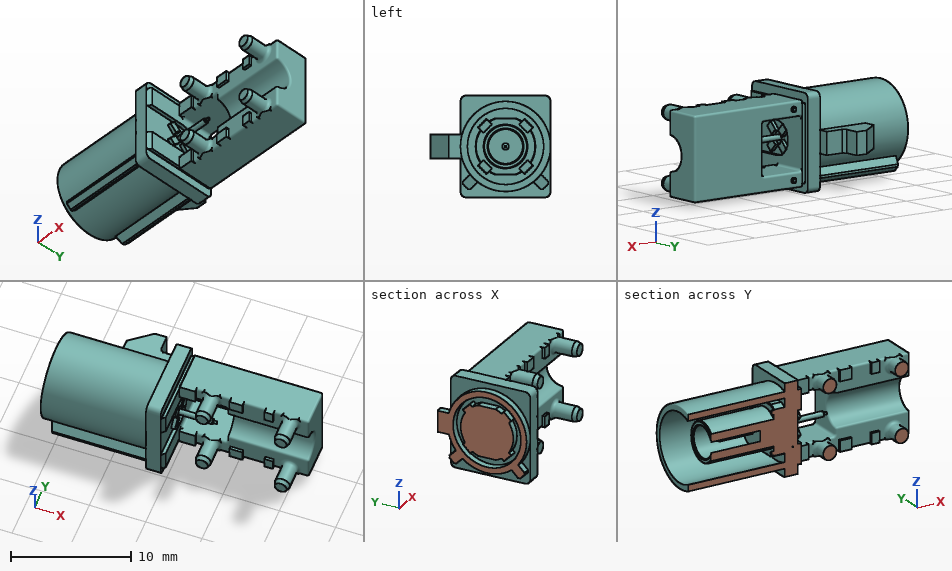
import cadquery as cq
import math


shroud_radius = 3.75
shroud_bore_radius = 3.17
mouth_round = 0.1
flange_front = 9.4

flange_thickness = 1.3
flange_width = 2 * shroud_radius
flange_height = 8.5
flange_corner_radius = 0.5
flange_back = flange_front + flange_thickness

lug_width = 2.0
lug_front = 4.5
lug_front_height = 4.73
lug_crest_front = 6.45
lug_crest_back = 7.5
lug_crest_height = 6.25
lug_step_height = 4.65
lug_step_chamfer = 0.24

key_angles = (-45, -135)
key_width = 0.9
key_radius = 4.72
key_corner_chamfer = 0.15
key_front = 0.75
key_tip_front = 1.0

hub_radius = 2.5
hub_flat_half = 2.36
hub_front = 8.35
hub_edge_chamfer = 0.05
clip_inner = 2.1
clip_outer = 2.75
clip_width = 1.0
clip_front = 8.15
clip_chamfer = 0.05
tube_radius = 1.84
tube_bore_radius = 1.43
tube_front = 2.2
tube_outer_chamfer = 0.07
tube_inner_chamfer = 0.08
insulator_front = 7.0
contact_radius = 0.28
contact_front = 3.5
contact_tip_radius = 0.08
contact_tip_length = 0.35
tail_radius = 0.25
tail_shoulder = 14.0
tail_end = 14.3
tail_tip_radius = 0.12
tail_shoulder_chamfer = 0.06

neck_thickness = 0.34
neck_back = flange_back + neck_thickness
neck_half_height = 3.41
neck_bottom = -flange_width / 2
neck_top = 3.4
neck_undercut_length = 0.12
neck_undercut_depth = 0.06
neck_opening_radius = 1.5
cross_arm_length = 1.48
cross_arm_width = 0.67
cross_center_radius = 0.6

body_back = 22.45
body_half_height = 3.69
body_top = 3.42
edge_round = 0.2
front_corner_round = 0.1
pad_height = 0.25
front_pad_back = 12.45
side_pad_inner = 2.67
side_pads = ((15.5, 16.65), (18.6, 19.35))

window_back = 15.22
window_half_height = 2.33
window_corner_radius = 0.25
channel_radius = 1.53

pin_x_positions = (13.83, 20.84)
pin_z = (window_half_height + body_half_height) / 2
pin_radius = 0.67
pin_length = 2.35
pin_tip_radius = 0.53
pin_tip_length = 0.4
pin_root_round = 0.3

stud_x = 11.95
stud_radius = 0.24
stud_height = 0.16
stud_chamfer = 0.08

overlap = 0.2


def box(x_range, y_range, z_range):
    """Axis-aligned block given by its limits."""
    lows, highs = zip(x_range, y_range, z_range)
    sizes = [high - low for low, high in zip(lows, highs)]
    return cq.Workplane("XY").box(*sizes, centered=False).translate(lows)


def rod(x_start, x_end, radius):
    """Cylinder along the coax axis."""
    return cq.Workplane("YZ", origin=(x_start, 0, 0)).circle(radius).extrude(x_end - x_start)


def make_shroud():
    tube = rod(0, flange_front + overlap, shroud_radius).faces("<X").edges().fillet(mouth_round)
    flange = box(
        (flange_front, flange_back),
        (-flange_width / 2, flange_width / 2),
        (-flange_height / 2, flange_height / 2),
    )
    flange = flange.edges("|X").fillet(flange_corner_radius)
    return tube.union(flange)


def make_lug():
    outline = [
        (lug_front, 0),
        (lug_front, lug_front_height),
        (lug_crest_front, lug_crest_height),
        (lug_crest_back, lug_crest_height),
        (lug_crest_back, lug_step_height + lug_step_chamfer),
        (lug_crest_back + lug_step_chamfer, lug_step_height),
        (flange_front, lug_step_height),
        (flange_front, 0),
    ]
    return cq.Workplane("XY").polyline(outline).close().extrude(lug_width / 2, both=True)


def make_key(angle):
    """Rib along the shroud with a sloping front end, turned about X to its angle."""
    slope = (key_tip_front - key_front) / (key_radius - shroud_radius)
    root_front = key_front - slope * (shroud_radius - shroud_bore_radius)
    outline = [
        (root_front, shroud_bore_radius),
        (key_tip_front, key_radius),
        (flange_front, key_radius),
        (flange_front, shroud_bore_radius),
    ]
    key = cq.Workplane("XY").polyline(outline).close().extrude(key_width / 2, both=True)
    key = key.faces(">Y").edges("|X").chamfer(key_corner_chamfer)
    return key.rotate((0, 0, 0), (1, 0, 0), angle)


def make_hub():
    """Flatted base disc with four retaining clips on its diagonals."""
    hub = rod(hub_front, flange_front, hub_radius)
    flats = box(
        (hub_front, flange_front),
        (-hub_radius, hub_radius),
        (-hub_flat_half, hub_flat_half),
    )
    hub = hub.intersect(flats).faces("<X").edges().chamfer(hub_edge_chamfer)
    for quarter in range(4):
        clip = box(
            (clip_front, flange_front),
            (clip_inner, clip_outer),
            (-clip_width / 2, clip_width / 2),
        )
        clip = clip.faces("<X").edges(">Y").chamfer(clip_chamfer)
        hub = hub.union(clip.rotate((0, 0, 0), (1, 0, 0), 45 + 90 * quarter))
    return hub


def make_tube():
    outline = [
        (insulator_front, 0),
        (insulator_front, tube_bore_radius),
        (tube_front + tube_inner_chamfer, tube_bore_radius),
        (tube_front, tube_bore_radius + tube_inner_chamfer),
        (tube_front, tube_radius - tube_outer_chamfer),
        (tube_front + tube_outer_chamfer, tube_radius),
        (flange_front, tube_radius),
        (flange_front, 0),
    ]
    return cq.Workplane("XY").polyline(outline).close().revolve(360, (0, 0), (1, 0))


def make_contact():
    """Centre conductor: pointed mating end, thinner stepped tail."""
    outline = [
        (contact_front, 0),
        (contact_front, contact_tip_radius),
        (contact_front + contact_tip_length, contact_radius),
        (flange_front, contact_radius),
        (flange_front, tail_radius),
        (tail_shoulder - tail_shoulder_chamfer, tail_radius),
        (tail_shoulder, tail_radius - tail_shoulder_chamfer),
        (tail_shoulder, tail_tip_radius),
        (tail_end, tail_tip_radius),
        (tail_end, 0),
    ]
    return cq.Workplane("XY").polyline(outline).close().revolve(360, (0, 0), (1, 0))


def make_neck():
    """Thin plate with a bevelled bottom and a U-shaped opening around a four-armed cross."""
    outline = [
        (flange_back, neck_top),
        (neck_back, neck_top),
        (neck_back, neck_bottom + neck_thickness),
        (flange_back, neck_bottom),
    ]
    plate = cq.Workplane("XY").polyline(outline).close().extrude(neck_half_height, both=True)
    plate = plate.faces("<X").edges("<Z or >Z").chamfer(neck_undercut_length, neck_undercut_depth)
    slot = box((flange_back, neck_back), (neck_bottom, 0), (-neck_opening_radius, neck_opening_radius))
    plate = plate.cut(slot).cut(rod(flange_back, neck_back, neck_opening_radius))
    for angle in (45, -45):
        bar = box(
            (flange_back, neck_back),
            (-cross_arm_length, cross_arm_length),
            (-cross_arm_width / 2, cross_arm_width / 2),
        )
        plate = plate.union(bar.rotate((0, 0, 0), (1, 0, 0), angle))
    return plate.cut(rod(flange_back, neck_back, cross_center_radius))


def make_body():
    """Rear block with a through window and a half-round channel.

    Its edges are rounded while a wall closes the front; the wall is then trimmed off at the neck.
    """
    body = box(
        (flange_back, body_back),
        (0, body_top),
        (-body_half_height, body_half_height),
    )
    window = box(
        (neck_back, window_back),
        (0, body_top),
        (-window_half_height, window_half_height),
    )
    window = window.edges("|Y").fillet(window_corner_radius)
    channel = rod(window_back - window_corner_radius, body_back, channel_radius)
    body = body.cut(window).cut(channel)
    body = body.edges("|X and >Y").fillet(edge_round)
    channel_mouth = cq.selectors.BoxSelector(
        (window_back - overlap, overlap, -channel_radius),
        (window_back + overlap, body_top, channel_radius),
    )
    rounded_edges = body.faces("<Y or >X").edges("not <X").add(body.edges(channel_mouth).edges("%CIRCLE"))
    body = rounded_edges.fillet(edge_round)
    rear_space = box((neck_back, body_back), (0, body_top), (-body_half_height, body_half_height))
    return body.intersect(rear_space.edges("|Y and <X").fillet(front_corner_round))


def make_pads():
    """Standoff pads under both rails; the front pair fills the rail width."""
    pads = cq.Workplane("XY")
    spans = [(neck_back, front_pad_back, window_half_height)]
    spans += [(start, end, side_pad_inner) for start, end in side_pads]
    for start, end, inner in spans:
        pad = box((start, end), (-pad_height, edge_round), (inner, body_half_height))
        if start == neck_back:
            pad = pad.edges("<X and >Z").fillet(front_corner_round)
        pads = pads.union(pad).union(pad.mirror("XY"))
    return pads


def make_pin(x, side):
    """Solder pin with a tapered tip and a flared root trimmed to the rail sides."""
    flare_radius = pin_radius + pin_root_round
    bend = pin_root_round * (1 - math.sqrt(0.5))
    pin = (
        cq.Workplane("XY")
        .moveTo(0, edge_round)
        .lineTo(flare_radius, edge_round)
        .lineTo(flare_radius, 0)
        .threePointArc((pin_radius + bend, -bend), (pin_radius, -pin_root_round))
        .lineTo(pin_radius, pin_tip_length - pin_length)
        .lineTo(pin_tip_radius, -pin_length)
        .lineTo(0, -pin_length)
        .close()
        .revolve(360, (0, 0), (0, 1))
        .translate((x, 0, pin_z))
    )
    rail = box(
        (x - flare_radius, x + flare_radius),
        (-pin_length, edge_round),
        (window_half_height if x < window_back else channel_radius, body_half_height),
    )
    pin = pin.intersect(rail)
    return pin if side > 0 else pin.mirror("XY")


def make_stud(side):
    stud = cq.Workplane("XZ", origin=(stud_x, body_top - overlap, side * pin_z))
    stud = stud.circle(stud_radius).extrude(-(stud_height + overlap))
    return stud.faces(">Y").edges().chamfer(stud_chamfer)


shell = make_shroud().union(make_lug())
for angle in key_angles:
    shell = shell.union(make_key(angle))
shell = shell.cut(rod(0, flange_front, shroud_bore_radius))

result = shell.union(make_hub()).union(make_tube())
result = result.union(make_contact()).union(make_neck()).union(make_body()).union(make_pads())
for side in (-1, 1):
    for x in pin_x_positions:
        result = result.union(make_pin(x, side))
    result = result.union(make_stud(side))